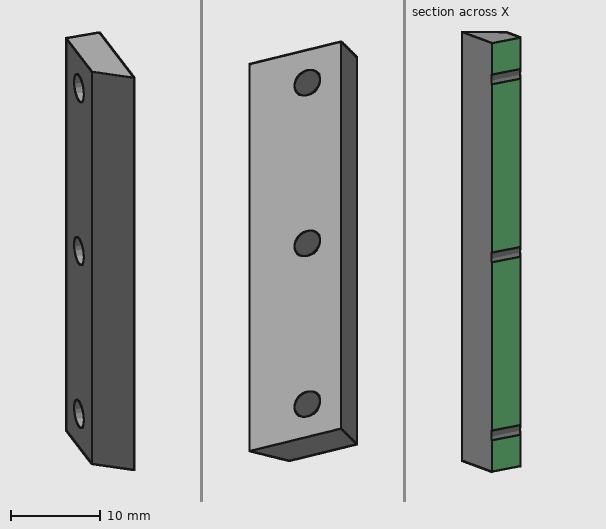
import cadquery as cq

length = 50.0
back_width = 11.5
front_width = 8.5
thickness = 4.0
hole_diameter = 3.2
hole_inset = front_width / 2

bar = (
    cq.Workplane("XY")
    .polyline([(0, 0), (front_width, 0), (back_width, thickness), (0, thickness)])
    .close()
    .extrude(length)
)

hole_heights = [hole_inset, length / 2, length - hole_inset]
holes = (
    cq.Workplane("XZ")
    .pushPoints([(hole_inset, height) for height in hole_heights])
    .circle(hole_diameter / 2)
    .extrude(-thickness)
)

result = bar.cut(holes)